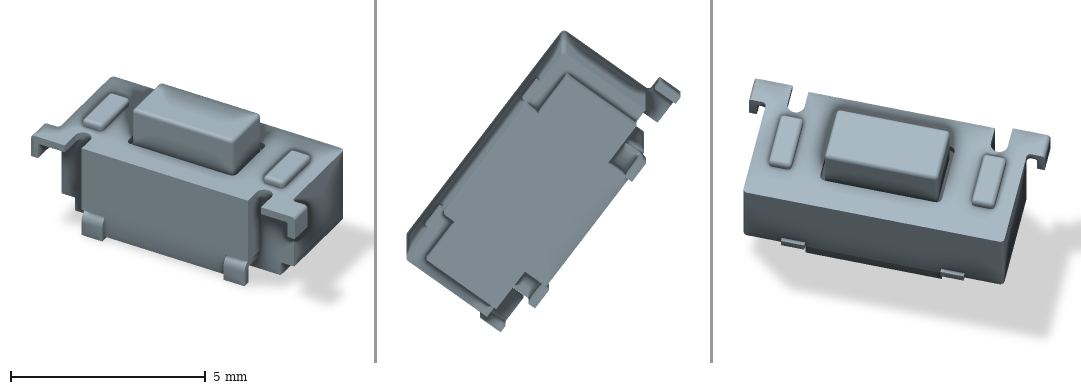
import cadquery as cq

overall_length = 7.8
overall_depth = 3.5
overall_height = 3.6
half_depth = overall_depth / 2

housing_length = 6.88
housing_depth = 3.31
housing_top = 2.605
housing_rear = housing_depth / 2
housing_front = -housing_depth / 2
rear_corner_radius = 0.12

front_block_length = 4.915
recess_wall = -0.975

base_bottom = 0.1
base_length = 6.085
base_rear = 1.25
middle_length = 3.59
middle_rear = 1.62
middle_rear_draft = 0.03

sheet_thickness = 0.21
tab_drop = 0.655
tab_rear = -1.09
tab_outer_radius = 0.1
tab_inner_radius = 0.06
tab_corner_radius = 0.1
slot_width = 0.445

contact_bottom = 0.5
contact_top = contact_bottom + sheet_thickness
contact_width = 0.62
contact_outer_radius = 0.305
contact_inner_radius = 0.055

button_length = 2.99
button_depth = 1.5
button_clearance = 0.11
opening_depth = sheet_thickness
opening_corner_radius = 0.14

rib_width = 0.6
rib_height = 0.2
rib_spacing = 5.35

edge_radius = 0.1


def block(x_range, y_range, z_range):
    """Box given by its limits along each axis."""
    limits = (x_range, y_range, z_range)
    size = [high - low for low, high in limits]
    corner = tuple(low for low, high in limits)
    return cq.Workplane("XY").box(*size, centered=False).translate(corner)


def centred_block(length, y_range, z_range):
    """Box centred on X = 0."""
    return block((-length / 2, length / 2), y_range, z_range)


def rounded_block(length, depth, z_range):
    """Centred box with rounded upright and top edges."""
    body = centred_block(length, (-depth / 2, depth / 2), z_range)
    return body.edges("|Z or >Z").fillet(edge_radius)


def on_both_sides(right_half):
    """A right-hand feature together with its mirror image."""
    return right_half.union(right_half.mirror("YZ"))


def make_housing():
    main = centred_block(housing_length, (recess_wall, housing_rear), (contact_bottom, housing_top))
    main = main.edges("|Z and >Y").fillet(rear_corner_radius)
    front = centred_block(front_block_length, (housing_front, recess_wall), (contact_top, housing_top))
    base = centred_block(base_length, (recess_wall, base_rear), (base_bottom, contact_bottom))
    middle = (
        cq.Workplane("YZ")
        .moveTo(housing_front, base_bottom)
        .lineTo(middle_rear - middle_rear_draft, base_bottom)
        .lineTo(middle_rear, contact_bottom)
        .lineTo(middle_rear, contact_top)
        .lineTo(housing_front, contact_top)
        .close()
        .extrude(middle_length / 2, both=True)
    )
    return main.union(front).union(base).union(middle)


def make_tab():
    """Right-hand cover tab: slotted at the front, bent down at its outer end."""
    inner_x = front_block_length / 2
    outer_x = overall_length / 2
    side_x = housing_length / 2
    sheet_bottom = housing_top - sheet_thickness
    leg_inner_x = outer_x - sheet_thickness
    leg_bottom = housing_top - tab_drop

    tab = block((inner_x, outer_x), (-half_depth, tab_rear), (leg_bottom, housing_top))
    tab = tab.edges("|Y and >X and >Z").fillet(tab_outer_radius)
    under_bend = block((inner_x, leg_inner_x), (-half_depth, tab_rear), (leg_bottom, sheet_bottom))
    tab = tab.cut(under_bend.edges("|Y and >X and >Z").fillet(tab_inner_radius))

    web = (
        cq.Workplane("XY", origin=(0, 0, sheet_bottom))
        .moveTo(inner_x, tab_rear)
        .lineTo(side_x + tab_corner_radius, tab_rear)
        .radiusArc((side_x, tab_rear + tab_corner_radius), tab_corner_radius)
        .lineTo(side_x, recess_wall)
        .lineTo(inner_x, recess_wall)
        .close()
        .extrude(sheet_thickness)
    )

    slot_radius = slot_width / 2
    slot_x = inner_x + slot_radius
    slot_end_y = recess_wall - slot_radius
    slot = block((inner_x, inner_x + slot_width), (-half_depth, slot_end_y), (sheet_bottom, housing_top))
    slot_end = cq.Workplane("XY", origin=(slot_x, slot_end_y, sheet_bottom))
    slot = slot.union(slot_end.circle(slot_radius).extrude(sheet_thickness))
    return tab.union(web).cut(slot)


def make_contact():
    """Right-hand contact: a strip under the housing, bent down at the front."""
    inner_x = middle_length / 2
    x_range = (inner_x, inner_x + contact_width)
    contact = block(x_range, (-half_depth, half_depth), (0, contact_top))
    contact = contact.edges("|X and <Y and >Z").fillet(contact_outer_radius)
    under_bend = block(x_range, (-half_depth + sheet_thickness, half_depth), (0, contact_bottom))
    return contact.cut(under_bend.edges("|X and <Y and >Z").fillet(contact_inner_radius))


def make_rib():
    """Right-hand raised rib on top of the housing."""
    rib = rounded_block(rib_width, button_depth, (housing_top, housing_top + rib_height))
    return rib.translate((rib_spacing / 2, 0, 0))


def make_opening():
    length = button_length + 2 * button_clearance
    half_opening_depth = button_depth / 2 + button_clearance
    opening = centred_block(
        length, (-half_opening_depth, half_opening_depth), (housing_top - opening_depth, housing_top)
    )
    return opening.edges("|Z").fillet(opening_corner_radius)


button = rounded_block(button_length, button_depth, (housing_top - opening_depth, overall_height))

result = (
    make_housing()
    .union(on_both_sides(make_tab()))
    .union(on_both_sides(make_contact()))
    .cut(make_opening())
    .union(button)
    .union(on_both_sides(make_rib()))
)